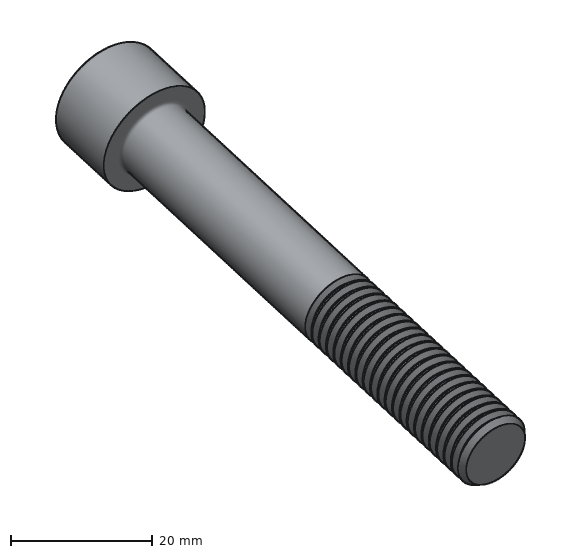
import cadquery as cq
import math

total_length = 92.0
head_diameter = 18.0
head_height = 12.0
head_edge_radius = 1.1
shank_diameter = 12.0
neck_fillet_radius = 0.55

thread_length = 36.8
end_land = 0.6
groove_count = 21
thread_pitch = (thread_length - end_land) / groove_count
groove_depth = 0.7
crest_width = thread_pitch / 5
end_chamfer_length = 1.0
end_chamfer_depth = groove_depth

hex_across_flats = 10.0
socket_depth = 6.0
socket_point_angle = 120.0

shank_radius = shank_diameter / 2
thread_start = total_length - thread_length


def make_blank():
    """Head and plain shank, with the rounded rim, neck fillet and end chamfer."""
    head = cq.Workplane("YZ").circle(head_diameter / 2).extrude(head_height)
    head = head.faces("<X").edges().fillet(head_edge_radius)
    shank = cq.Workplane("YZ").circle(shank_radius).extrude(total_length)
    shank = shank.faces(">X").edges().chamfer(end_chamfer_length, end_chamfer_depth)
    neck_end = head_height + neck_fillet_radius
    neck_radius = shank_radius + neck_fillet_radius
    arc_offset = neck_fillet_radius * (1 - math.sqrt(0.5))
    neck = (
        cq.Workplane("XY")
        .moveTo(head_height, 0)
        .lineTo(head_height, neck_radius)
        .threePointArc(
            (head_height + arc_offset, shank_radius + arc_offset),
            (neck_end, shank_radius),
        )
        .lineTo(neck_end, 0)
        .close()
        .revolve(360, (0, 0, 0), (1, 0, 0))
    )
    return head.union(shank).union(neck)


def make_thread_groove(start):
    """V-shaped ring that cuts one thread groove, beginning at the given X."""
    opening = thread_pitch - crest_width
    flank = opening / 2
    root_radius = shank_radius - groove_depth
    overcut = flank / 2
    outer_radius = shank_radius + groove_depth * overcut / flank
    profile = [
        (start - overcut, outer_radius),
        (start + flank, root_radius),
        (start + opening + overcut, outer_radius),
    ]
    return cq.Workplane("XY").polyline(profile).close().revolve(360, (0, 0, 0), (1, 0, 0))


def make_socket():
    """Hexagonal key socket with corners at +Y and -Y, ending in a drill point."""
    across_corners = hex_across_flats / math.cos(math.radians(30))
    hexagon = cq.Workplane("YZ").polygon(6, across_corners).extrude(socket_depth)
    point_radius = hex_across_flats / 2
    point_depth = point_radius / math.tan(math.radians(socket_point_angle / 2))
    point = (
        cq.Workplane("XY")
        .polyline([(socket_depth, 0), (socket_depth, point_radius), (socket_depth + point_depth, 0)])
        .close()
        .revolve(360, (0, 0, 0), (1, 0, 0))
    )
    return hexagon.union(point)


result = make_blank().cut(make_socket())
for index in range(groove_count):
    result = result.cut(make_thread_groove(thread_start + index * thread_pitch))